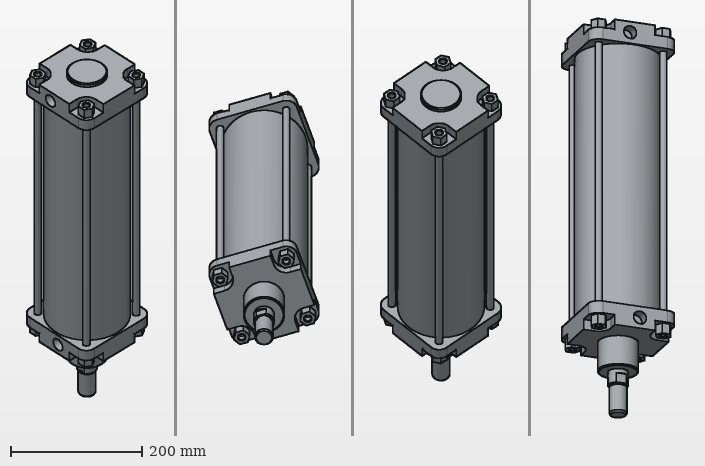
import cadquery as cq
import math

thread_top = 48.0
flat_top = 63.0
neck_bottom = 70.0
front_cap_bottom = 118.0
total_height = 624.0
boss_height = 6.0

cap_width = 140.0
cap_height = 35.5
cap_corner_radius = 17.0
pocket_depth = 16.0
pocket_radius = 20.0
neck_diameter = 62.5
neck_chamfer = 2.0
port_diameter = 20.5
port_depth = 19.0
port_offset = 8.0
port_inset = 17.5

barrel_diameter = 133.0

rod_diameter = 31.0
flat_width = 27.0
thread_diameter = 27.5
thread_chamfer_depth = 2.0
thread_chamfer_length = 3.0

tie_rod_diameter = 11.0
nut_across_flats = 22.0
socket_diameter = 10.0
socket_depth = 12.5
socket_chamfer = 1.0

front_cap_top = front_cap_bottom + cap_height
rear_cap_top = total_height - boss_height
rear_cap_bottom = rear_cap_top - cap_height
tie_rod_position = cap_width / 2 - cap_corner_radius
corners = [(sx * tie_rod_position, sy * tie_rod_position) for sx in (-1, 1) for sy in (-1, 1)]


def cylinder(diameter, bottom, top):
    """Upright cylinder on the main axis."""
    return cq.Workplane("XY").workplane(offset=bottom).circle(diameter / 2).extrude(top - bottom)


def corner_pocket(sign_x, sign_y):
    """Nut pocket, open at two sides of the cap and rounded about the tie rod; its floor is at z = 0."""
    inner = tie_rod_position - pocket_radius
    size = cap_width / 2 - inner
    center = inner + size / 2
    pocket = cq.Workplane("XY").rect(size, size).extrude(pocket_depth)
    inner_edge = cq.selectors.NearestToPointSelector((-sign_x * size, -sign_y * size, pocket_depth / 2))
    return pocket.edges(inner_edge).fillet(pocket_radius).translate((sign_x * center, sign_y * center, 0))


def cap_block(inner_face, outer_face, port_x):
    """Square cap with rounded corners, nut pockets on its outer face, tie rod holes and an air port."""
    bottom = min(inner_face, outer_face)
    cap = cq.Workplane("XY").workplane(offset=bottom).rect(cap_width, cap_width).extrude(cap_height)
    cap = cap.edges("|Z").fillet(cap_corner_radius)

    outward = math.copysign(1, outer_face - inner_face)
    pocket_bottom = outer_face - pocket_depth if outward > 0 else outer_face
    for sign_x in (-1, 1):
        for sign_y in (-1, 1):
            cap = cap.cut(corner_pocket(sign_x, sign_y).translate((0, 0, pocket_bottom)))

    holes = cq.Workplane("XY").workplane(offset=bottom).pushPoints(corners)
    cap = cap.cut(holes.circle(tie_rod_diameter / 2).extrude(cap_height))

    port = cq.Workplane("XZ", origin=(port_x, -cap_width / 2, outer_face - outward * port_inset))
    return cap.cut(port.circle(port_diameter / 2).extrude(-port_depth))


def make_front_cap():
    """Cap with the long neck that guides the piston rod."""
    cap = cap_block(front_cap_top, front_cap_bottom, port_offset)
    neck = cylinder(neck_diameter, neck_bottom, front_cap_bottom).faces("<Z").chamfer(neck_chamfer)
    return cap.union(neck).cut(cylinder(rod_diameter, neck_bottom, front_cap_top))


def make_rear_cap():
    """Cap closed by a low round boss."""
    cap = cap_block(rear_cap_bottom, rear_cap_top, -port_offset)
    boss = cylinder(neck_diameter, rear_cap_top, total_height).faces(">Z").chamfer(neck_chamfer)
    return cap.union(boss)


def make_barrel():
    return cylinder(barrel_diameter, front_cap_top, rear_cap_bottom)


def make_thread():
    """Plain cylinder for the thread, with a steep chamfer at both ends."""
    radius = thread_diameter / 2
    end_radius = radius - thread_chamfer_depth
    profile = cq.Workplane("XZ").polyline([
        (0, 0),
        (end_radius, 0),
        (radius, thread_chamfer_length),
        (radius, thread_top - thread_chamfer_length),
        (end_radius, thread_top),
        (0, thread_top),
    ]).close()
    return profile.revolve(360, (0, 0, 0), (0, 1, 0))


def make_piston_rod():
    """Shank with two wrench flats above the threaded end."""
    shank = cylinder(rod_diameter, thread_top, front_cap_top)
    flat_height = flat_top - thread_top
    flat_zone = cylinder(rod_diameter, thread_top, flat_top)
    between_flats = cq.Workplane("XY").workplane(offset=thread_top).rect(rod_diameter, flat_width)
    shank = shank.cut(flat_zone.cut(between_flats.extrude(flat_height)))
    return shank.union(make_thread())


def make_nut(bottom):
    """Hexagonal end of a tie rod, on the main axis, with two flats facing along Y."""
    across_corners = nut_across_flats / math.cos(math.pi / 6)
    return cq.Workplane("XY").workplane(offset=bottom).polygon(6, across_corners).extrude(pocket_depth)


def make_tie_rod(x, y):
    """Tie rod with a hexagonal nut and a chamfered socket at each end."""
    rod = cylinder(tie_rod_diameter, front_cap_bottom, rear_cap_top)
    rod = rod.union(make_nut(front_cap_bottom)).union(make_nut(rear_cap_top - pocket_depth))
    for end in ("<Z", ">Z"):
        rod = rod.faces(end).workplane(centerOption="CenterOfMass").cskHole(
            socket_diameter, socket_diameter + 2 * socket_chamfer, 90, socket_depth)
    return rod.translate((x, y, 0))


front_cap = make_front_cap()
rear_cap = make_rear_cap()
barrel = make_barrel()
piston_rod = make_piston_rod()
tie_rods = [make_tie_rod(x, y) for x, y in corners]

result = cq.Compound.makeCompound([
    front_cap.val(),
    rear_cap.val(),
    barrel.val(),
    piston_rod.val(),
    *[tie_rod.val() for tie_rod in tie_rods],
])